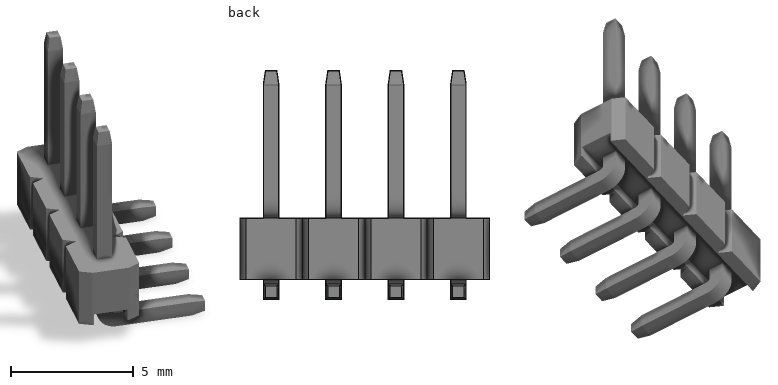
import cadquery as cq

pin_count = 4
pitch = 2.54
row_length = pin_count * pitch
body_depth = 2.54
body_height = 2.5
corner_x = 0.25
corner_y = 0.51

channel_width = 1.42
channel_height = 0.51

pin_size = 0.64
tip_size = 0.47
tip_length = 0.58
pin_above_body = 6.0
pin_below_body = 0.81
pin_behind_body = 3.0
inner_bend_radius = 0.16

pin_top = body_height + pin_above_body
tail_axis_z = pin_size / 2 - pin_below_body
tail_end = body_depth / 2 + pin_behind_body
bend_radius = inner_bend_radius + pin_size / 2


def cell(center_x):
    """One housing cell: a block with its four upright corners cut away."""
    half_x = pitch / 2
    half_y = body_depth / 2
    flat_x = half_x - corner_x
    flat_y = half_y - corner_y
    outline = [
        (-flat_x, -half_y),
        (flat_x, -half_y),
        (half_x, -flat_y),
        (half_x, flat_y),
        (flat_x, half_y),
        (-flat_x, half_y),
        (-half_x, flat_y),
        (-half_x, -flat_y),
    ]
    return cq.Workplane("XY").polyline(outline).close().extrude(body_height).translate((center_x, 0, 0))


def tip(plane):
    """Tapered end growing from the given plane along its normal."""
    return (
        cq.Workplane(plane)
        .rect(pin_size, pin_size)
        .workplane(offset=tip_length)
        .rect(tip_size, tip_size)
        .loft(combine=True)
    )


def pin():
    """One pin: upright leg, bend below the housing, and a tail pointing to +Y."""
    leg_end = pin_top - tip_length
    tail_straight_end = tail_end - tip_length
    path = (
        cq.Workplane("YZ")
        .moveTo(0, leg_end)
        .lineTo(0, tail_axis_z + bend_radius)
        .radiusArc((bend_radius, tail_axis_z), -bend_radius)
        .lineTo(tail_straight_end, tail_axis_z)
    )
    shaft = cq.Workplane("XY", origin=(0, 0, leg_end)).rect(pin_size, pin_size).sweep(path)
    top_plane = cq.Plane(origin=(0, 0, leg_end), xDir=(1, 0, 0), normal=(0, 0, 1))
    tail_plane = cq.Plane(origin=(0, tail_straight_end, tail_axis_z), xDir=(1, 0, 0), normal=(0, 1, 0))
    return shaft.union(tip(top_plane)).union(tip(tail_plane))


pin_positions = [(i - (pin_count - 1) / 2) * pitch for i in range(pin_count)]

body = cell(pin_positions[0])
for x in pin_positions[1:]:
    body = body.union(cell(x))

channel = cq.Workplane("XY").box(row_length, channel_width, channel_height, centered=(True, True, False))
body = body.cut(channel)

result = body
for x in pin_positions:
    result = result.union(pin().translate((x, 0, 0)))